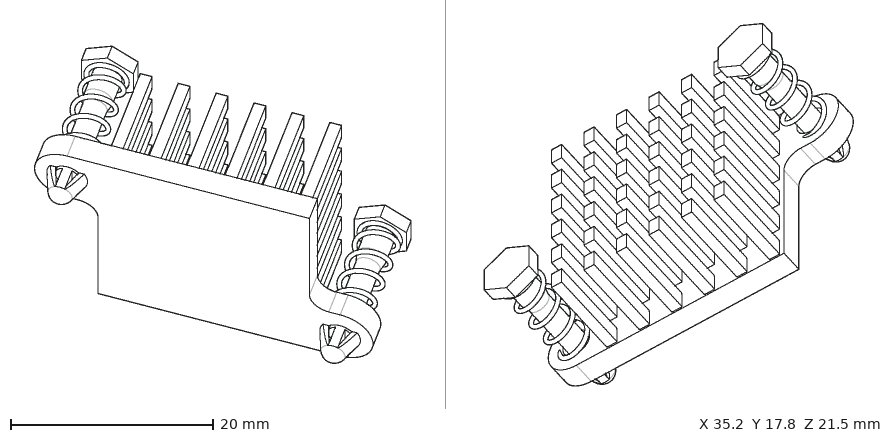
import cadquery as cq
import math


SINK_LENGTH = 35.2
SINK_HEIGHT = 21.5
BODY_WIDTH = 22.0
LOBE_RADIUS = 3.4
INNER_FILLET = 2.0
BASE_BACK = -11.97
BASE_FRONT = -14.55
HOLE_DIAMETER = 3.25
LOBE_X = SINK_LENGTH / 2 - LOBE_RADIUS
LOBE_Z = SINK_HEIGHT / 2 - LOBE_RADIUS

FIN_COLUMNS = 6
FIN_ROWS = 6
FIN_PITCH_X = 3.95
FIN_PITCH_Z = 3.8
FIN_WIDTH = 1.23
FIN_HEIGHT = 2.05
FIN_TIP = -2.45

HEAD_FLATS = 5.42
HEAD_CORNERS = 6.1
HEAD_SIDE = 3.05
HEAD_BOTTOM = -1.55
COLLAR_RADIUS = 1.5
COLLAR_END = -4.47
SHANK_RADIUS = 1.25
SHANK_START = -5.53
DOME_START = -16.9
TIP = -17.75
DOME_HEIGHT = DOME_START - TIP

BARB_RADIUS = 2.1
BARB_HEIGHT = 2.3
CORE_THICKNESS = 1.0
SLOT_WIDTH = 2.4
SLOT_DEPTH = 2.0

SPRING_DIAMETER = 4.6
WIRE_DIAMETER = 0.5
PITCH = 2.5
SPRING_LENGTH = HEAD_BOTTOM - BASE_BACK
COIL_RADIUS = (SPRING_DIAMETER - WIRE_DIAMETER) / 2
CLOSED_TURNS = 1.0
BEND_TURNS = 0.2
LEFT_SPRING_ANGLE = -90.0
RIGHT_SPRING_ANGLE = -18.0
POINTS_PER_TURN = 16

STATIONS = [
    (-LOBE_X, LOBE_Z, LEFT_SPRING_ANGLE),
    (LOBE_X, -LOBE_Z, RIGHT_SPRING_ANGLE),
]


def facing_front(y):
    """Workplane at height y whose extrusions run towards -Y, with local axes X and Z."""
    return cq.Workplane("XZ", origin=(0, y, 0))


def base_outline():
    """Plate with a round lobe at the upper left and another at the lower right."""
    half_height = SINK_HEIGHT / 2
    half_body = BODY_WIDTH / 2
    lobe_inner_z = half_height - 2 * LOBE_RADIUS
    diagonal = INNER_FILLET * (1 - math.sqrt(0.5))
    outline = facing_front(BASE_BACK).moveTo(half_body, half_height)
    for side in (1, -1):
        outline = (
            outline.lineTo(-side * LOBE_X, side * half_height)
            .threePointArc(
                (-side * SINK_LENGTH / 2, side * LOBE_Z),
                (-side * LOBE_X, side * lobe_inner_z),
            )
            .lineTo(-side * (half_body + INNER_FILLET), side * lobe_inner_z)
            .threePointArc(
                (-side * (half_body + diagonal), side * (lobe_inner_z - diagonal)),
                (-side * half_body, side * (lobe_inner_z - INNER_FILLET)),
            )
            .lineTo(-side * half_body, -side * half_height)
        )
    return outline.close()


def make_heat_sink():
    base = base_outline().extrude(BASE_BACK - BASE_FRONT)
    fins = (
        facing_front(FIN_TIP)
        .rarray(FIN_PITCH_X, FIN_PITCH_Z, FIN_COLUMNS, FIN_ROWS)
        .rect(FIN_WIDTH, FIN_HEIGHT)
        .extrude(FIN_TIP - BASE_BACK)
    )
    holes = (
        facing_front(BASE_BACK)
        .pushPoints([(x, z) for x, z, _ in STATIONS])
        .circle(HOLE_DIAMETER / 2)
        .extrude(BASE_BACK - BASE_FRONT)
    )
    return base.union(fins).cut(holes)


def make_head():
    return (
        facing_front(0)
        .polyline([
            (0, HEAD_CORNERS / 2),
            (HEAD_FLATS / 2, HEAD_SIDE / 2),
            (HEAD_FLATS / 2, -HEAD_SIDE / 2),
            (0, -HEAD_CORNERS / 2),
            (-HEAD_FLATS / 2, -HEAD_SIDE / 2),
            (-HEAD_FLATS / 2, HEAD_SIDE / 2),
        ])
        .close()
        .extrude(-HEAD_BOTTOM)
    )


def make_shank():
    """Collar, taper and shank down to the front face of the heat sink."""
    profile = (
        cq.Workplane("XY")
        .moveTo(0, HEAD_BOTTOM)
        .lineTo(COLLAR_RADIUS, HEAD_BOTTOM)
        .lineTo(COLLAR_RADIUS, COLLAR_END)
        .lineTo(SHANK_RADIUS, SHANK_START)
        .lineTo(SHANK_RADIUS, BASE_FRONT)
        .lineTo(0, BASE_FRONT)
        .close()
    )
    return profile.revolve(360, (0, 0, 0), (0, 1, 0))


def make_core():
    """Flat-sided strip of the shank between the barbs."""
    length = BASE_FRONT - DOME_START
    rod = facing_front(BASE_FRONT).circle(SHANK_RADIUS).extrude(length)
    strip = facing_front(BASE_FRONT).rect(CORE_THICKNESS, 2 * SHANK_RADIUS).extrude(length)
    return rod.intersect(strip)


def make_barbs():
    """Cone trimmed to a slab, with a V-shaped slot open at the heat sink."""
    length = BASE_FRONT - DOME_START
    cone = (
        cq.Workplane("XY")
        .moveTo(0, BASE_FRONT)
        .lineTo(BARB_RADIUS, BASE_FRONT)
        .lineTo(SHANK_RADIUS, DOME_START)
        .lineTo(0, DOME_START)
        .close()
        .revolve(360, (0, 0, 0), (0, 1, 0))
    )
    slab = facing_front(BASE_FRONT).rect(2 * BARB_RADIUS, BARB_HEIGHT).extrude(length)
    slot = (
        cq.Workplane("XY")
        .polyline([
            (-SLOT_WIDTH / 2, BASE_FRONT),
            (SLOT_WIDTH / 2, BASE_FRONT),
            (CORE_THICKNESS / 2, BASE_FRONT - SLOT_DEPTH),
            (-CORE_THICKNESS / 2, BASE_FRONT - SLOT_DEPTH),
        ])
        .close()
        .extrude(BARB_HEIGHT, both=True)
    )
    return cone.intersect(slab).cut(slot)


def make_dome():
    sphere_radius = (SHANK_RADIUS**2 + DOME_HEIGHT**2) / (2 * DOME_HEIGHT)
    half_angle = math.asin(SHANK_RADIUS / sphere_radius) / 2
    profile = (
        cq.Workplane("XY")
        .moveTo(0, DOME_START)
        .lineTo(SHANK_RADIUS, DOME_START)
        .threePointArc(
            (
                sphere_radius * math.sin(half_angle),
                TIP + sphere_radius * (1 - math.cos(half_angle)),
            ),
            (0, TIP),
        )
        .close()
    )
    return profile.revolve(360, (0, 0, 0), (0, 1, 0))


def make_push_pin(x, z):
    pin = make_head().union(make_shank()).union(make_core())
    pin = pin.union(make_barbs()).union(make_dome())
    return pin.translate((x, 0, z))


def coil_drop(turns):
    """Distance below the head: a closed coil that bends smoothly into the open pitch."""
    past_bend = turns - CLOSED_TURNS
    extra = max(0.0, past_bend)
    if abs(past_bend) < BEND_TURNS:
        extra = (past_bend + BEND_TURNS) ** 2 / (4 * BEND_TURNS)
    return WIRE_DIAMETER * turns + (PITCH - WIRE_DIAMETER) * extra


def make_spring(x, z, start_angle):
    """Coil spring ground flat against the head and against the heat sink."""
    total_turns = CLOSED_TURNS + (SPRING_LENGTH + WIRE_DIAMETER) / PITCH

    def coil_point(fraction):
        turns = fraction * total_turns
        angle = math.radians(start_angle + 360 * turns)
        return (
            COIL_RADIUS * math.cos(angle),
            HEAD_BOTTOM - coil_drop(turns),
            COIL_RADIUS * math.sin(angle),
        )

    segments = round(POINTS_PER_TURN * total_turns)
    points = [cq.Vector(*coil_point(i / segments)) for i in range(segments + 1)]
    path = cq.Edge.makeSpline(points)
    wire = (
        cq.Workplane(cq.Plane(origin=points[0], normal=path.tangentAt(0)))
        .circle(WIRE_DIAMETER / 2)
        .sweep(cq.Workplane(path), isFrenet=True)
    )
    head_to_sink = facing_front(HEAD_BOTTOM).circle(SPRING_DIAMETER).extrude(SPRING_LENGTH)
    return wire.intersect(head_to_sink).translate((x, 0, z))


heat_sink = make_heat_sink()
push_pins = [make_push_pin(x, z) for x, z, _ in STATIONS]
springs = [make_spring(x, z, angle) for x, z, angle in STATIONS]

result = cq.Compound.makeCompound([
    heat_sink.val(),
    *[pin.val() for pin in push_pins],
    *[spring.val() for spring in springs],
])